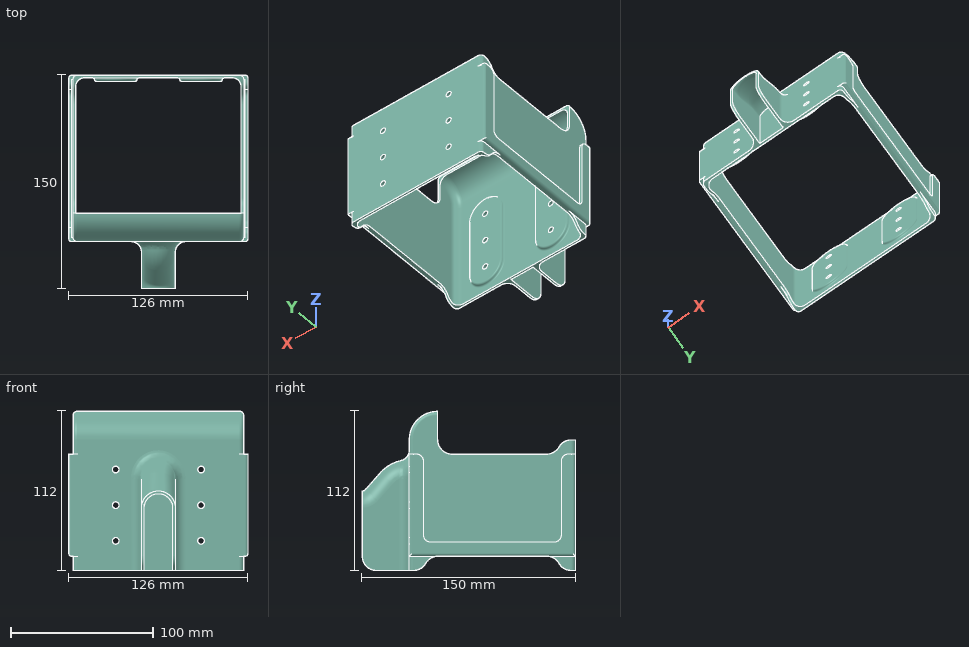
import cadquery as cq
import math

wall = 2.0
body_width = 120.0
body_depth = 117.0
total_height = 112.0
back_height = 92.0
outer_corner = 3.0
inner_corner = 6.0
hood_radius = total_height - back_height
inner_back_y = body_depth - wall

ear_height = 10.0
ear_radius = 10.0
hood_notch_radius = 10.0
side_bottom = ear_height
side_top = back_height - ear_height

holder_width = 126.0
holder_border = 10.0
holder_slot = 1.0
holder_end = 3.0
holder_edge_radius = 2.0
window_corner = 5.0

hole_diameter = 4.5
hole_x = 30.0
hole_pitch = 25.0
hole_middle_z = back_height / 2
pad_width = 30.0
pad_height = 2.5
pad_rim_run = 3.2

hook_reach = 33.0
hook_width = 24.0
hook_root_z = 66.0
hook_tip_z = 44.0
hook_bend_radius = 15.0
hook_corner = 10.0
hook_root_blend = 7.2


def hooded_block(inset, corner):
    """Block with a quarter-round front top edge, shrunk by inset, with rounded ends."""
    front = inset
    back = body_depth - inset
    top = total_height - inset
    radius = hood_radius - inset
    diagonal = radius * math.sqrt(0.5)
    return (
        cq.Workplane("YZ")
        .moveTo(front, 0)
        .lineTo(back, 0)
        .lineTo(back, top)
        .lineTo(hood_radius, top)
        .threePointArc((hood_radius - diagonal, back_height + diagonal), (front, back_height))
        .close()
        .extrude(body_width / 2 - inset, both=True)
        .edges("(not |X) and (not <Z)")
        .fillet(corner)
    )


def side_outline():
    """Full-width prism that trims the walls to their outline in the YZ plane."""
    ear_run = math.sqrt(4 * ear_radius * ear_height - ear_height**2)
    front_flat = outer_corner
    front_mid = front_flat + ear_run / 2
    front_end = front_flat + ear_run
    back_flat = body_depth - outer_corner
    back_mid = back_flat - ear_run / 2
    back_end = back_flat - ear_run
    bottom_mid = ear_height / 2
    top_mid = back_height - ear_height / 2
    return (
        cq.Workplane("YZ")
        .lineTo(front_flat, 0)
        .tangentArcPoint((front_mid, bottom_mid), relative=False)
        .tangentArcPoint((front_end, side_bottom), relative=False)
        .lineTo(back_end, side_bottom)
        .tangentArcPoint((back_mid, bottom_mid), relative=False)
        .tangentArcPoint((back_flat, 0), relative=False)
        .lineTo(body_depth, 0)
        .lineTo(body_depth, back_height)
        .lineTo(back_flat, back_height)
        .tangentArcPoint((back_mid, top_mid), relative=False)
        .tangentArcPoint((back_end, side_top), relative=False)
        .lineTo(hood_radius + hood_notch_radius, side_top)
        .tangentArcPoint((hood_radius, side_top + hood_notch_radius), relative=False)
        .lineTo(hood_radius, total_height)
        .lineTo(0, total_height)
        .close()
        .extrude(holder_width / 2, both=True)
    )


def holder_block():
    """Wide block that carries the holders on both sides."""
    return (
        cq.Workplane("XY", origin=(0, body_depth / 2, side_bottom))
        .rect(holder_width, body_depth)
        .extrude(side_top - side_bottom)
        .edges("|Z or (|Y and <Z)")
        .fillet(holder_edge_radius)
    )


def holder_opening(side):
    """Sheet slot and window to remove from one holder; side is -1 or 1."""
    body_side = side * body_width / 2
    slot = (
        cq.Workplane("YZ", origin=(body_side, 0, 0))
        .moveTo(holder_end, side_bottom + holder_end)
        .lineTo(body_depth - holder_end, side_bottom + holder_end)
        .lineTo(body_depth - holder_end, side_top)
        .lineTo(holder_end, side_top)
        .close()
        .extrude(side * holder_slot)
    )
    front = holder_border
    back = body_depth - holder_border
    sill = side_bottom + holder_border
    window = (
        cq.Workplane("YZ", origin=(body_side, 0, 0))
        .moveTo(front - window_corner, side_top)
        .radiusArc((front, side_top - window_corner), window_corner)
        .lineTo(front, sill + window_corner)
        .tangentArcPoint((front + window_corner, sill), relative=False)
        .lineTo(back - window_corner, sill)
        .tangentArcPoint((back, sill + window_corner), relative=False)
        .lineTo(back, side_top - window_corner)
        .radiusArc((back + window_corner, side_top), window_corner)
        .close()
        .extrude(side * (holder_width - body_width) / 2)
    )
    return slot.union(window)


def pad_half_section(center_x):
    """Half of the pad's section at its lowest hole; the rim is an S-shaped slope of two arcs."""
    foot = (pad_width + pad_rim_run) / 2
    crown = (pad_width - pad_rim_run) / 2
    inner_face = inner_back_y - pad_height
    rim_mid_y = inner_back_y - pad_height / 2
    embedded_y = body_depth - wall / 2
    return (
        cq.Workplane("XY", origin=(center_x, 0, hole_middle_z - hole_pitch))
        .moveTo(0, embedded_y)
        .lineTo(0, inner_face)
        .lineTo(crown, inner_face)
        .tangentArcPoint((pad_width / 2, rim_mid_y), relative=False)
        .tangentArcPoint((foot, inner_back_y), relative=False)
        .lineTo(foot, embedded_y)
        .close()
    )


def wall_pad(center_x):
    """Obround pad inside the back wall, straight between the outer holes and round at both ends."""
    length = 2 * hole_pitch
    straight_half = pad_half_section(center_x).extrude(length)
    straight = straight_half.union(straight_half.mirror("YZ", (center_x, 0, 0)))
    round_end = pad_half_section(center_x).revolve(360, (0, 0, 0), (0, 1, 0))
    return straight.union(round_end).union(round_end.translate((0, 0, length)))


def hook_spine():
    """S-shaped line from the front wall to the hook's tip, falling as it goes outward."""
    half_reach = hook_reach / 2
    half_drop = (hook_root_z - hook_tip_z) / 2
    reserve = 2 * hook_bend_radius - half_drop
    half_tangent = (half_reach - math.sqrt(half_reach**2 - reserve * half_drop)) / reserve
    bend_angle = 2 * math.atan(half_tangent)
    bend_run = hook_bend_radius * math.sin(bend_angle)
    bend_drop = hook_bend_radius * (1 - math.cos(bend_angle))
    slope_start = (-bend_run, hook_root_z - bend_drop)
    slope_end = (bend_run - hook_reach, hook_tip_z + bend_drop)
    tip = (-hook_reach, hook_tip_z)

    half_bend_run = hook_bend_radius * math.sin(bend_angle / 2)
    half_bend_drop = hook_bend_radius * (1 - math.cos(bend_angle / 2))
    root_bend_mid = (-half_bend_run, hook_root_z - half_bend_drop)
    tip_bend_mid = (half_bend_run - hook_reach, hook_tip_z + half_bend_drop)
    return (
        cq.Workplane("YZ")
        .moveTo(0, hook_root_z)
        .threePointArc(root_bend_mid, slope_start)
        .lineTo(*slope_end)
        .threePointArc(tip_bend_mid, tip)
    )


def hook_form(width):
    """Solid hook: a half-round ridge along the spine, with straight sides below it."""
    ridge = (
        cq.Workplane("XZ", origin=(0, 0, hook_root_z))
        .moveTo(width / 2, 0)
        .threePointArc((0, width / 2), (-width / 2, 0))
        .close()
        .sweep(hook_spine())
    )
    sides = (
        hook_spine()
        .lineTo(-hook_reach, hook_corner)
        .tangentArcPoint((hook_corner - hook_reach, 0), relative=False)
        .lineTo(0, 0)
        .close()
        .extrude(width / 2, both=True)
    )
    return ridge.union(sides)


def add_hook(body):
    """Join the hook to the front wall with a blended root, then hollow it out."""
    margin = 0.2
    root_zone = cq.selectors.BoxSelector(
        (-hook_width / 2 - margin, -margin, margin),
        (hook_width / 2 + margin, margin, hook_root_z + hook_width),
    )
    joined = body.union(hook_form(hook_width)).edges(root_zone).fillet(hook_root_blend)
    return joined.cut(hook_form(hook_width - 2 * wall))


def screw_holes():
    """Holes that run through the front and back walls and their pads."""
    return (
        cq.Workplane("XZ", origin=(0, body_depth, hole_middle_z))
        .rarray(2 * hole_x, hole_pitch, 2, 3)
        .circle(hole_diameter / 2)
        .extrude(body_depth)
    )


result = hooded_block(0, outer_corner).intersect(side_outline()).union(holder_block())
result = result.cut(hooded_block(wall, inner_corner))
for side in (-1, 1):
    result = result.cut(holder_opening(side))
for pad_x in (-hole_x, hole_x):
    back_pad = wall_pad(pad_x)
    front_pad = back_pad.mirror("XZ", (0, body_depth / 2, 0))
    result = result.union(back_pad).union(front_pad)
result = add_hook(result)
result = result.cut(screw_holes())